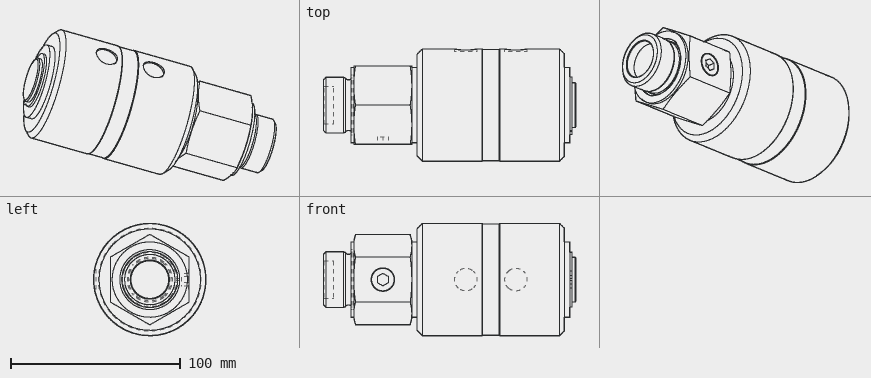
import cadquery as cq
import math


thread_diameter = 33.0
thread_end = 12.1
thread_chamfer = 1.6
bore_diameter = 22.2
bore_depth = 6.0
bore_chamfer = 0.5

undercut_middle = 14.9
undercut_diameter = 30.0
undercut_cone_end = 13.0
undercut_cone_diameter = 32.1
recess_diameter = 35.4

collar_diameter = 44.5
flange_start = 16.3
hex_start = 18.0
hex_end = 52.2
hex_flats = 46.3
hex_chamfer_angle = 15

body_diameter = 66.4
body_start = 55.2
body_end = 142.2
start_chamfer = 3.3
end_chamfer = 2.8
band_diameter = 65.8
band_start = 93.5
band_end = 104.1
band_slope_length = 0.5

collar_end = 145.5
shaft_diameter = 26.5
shaft_chamfer = 0.7
total_length = 149.2

ring_thickness = 1.3
ring_outer_diameter = 32.4
ring_offset = 0.5
ring_gap = 1.2
lug_base_width = 10.1
lug_tip_width = 5.0
lug_base = 15.7
lug_reach = 17.5

plug_diameter = 13.3
plug_gap = 0.3
plug_gap_depth = 0.3
socket_flats = 6.4
socket_depth = 4.5

pocket_diameter = plug_diameter
pocket_depth = 1.5
pocket_spacing = 29.5


def cylinder(start, end, diameter):
    return cq.Workplane("YZ", origin=(start, 0, 0)).circle(diameter / 2).extrude(end - start)


def make_stud():
    outer = thread_diameter / 2
    cone_radius = undercut_cone_diameter / 2
    recess_floor = 2 * undercut_middle - thread_end
    far_cone_start = 2 * undercut_middle - undercut_cone_end
    return (
        cq.Workplane("XY")
        .lineTo(0, outer - thread_chamfer)
        .lineTo(thread_chamfer, outer)
        .lineTo(thread_end, outer)
        .lineTo(undercut_cone_end, cone_radius)
        .threePointArc((undercut_middle, undercut_diameter / 2), (far_cone_start, cone_radius))
        .lineTo(recess_floor, outer)
        .lineTo(recess_floor, recess_diameter / 2)
        .lineTo(flange_start, recess_diameter / 2)
        .lineTo(flange_start, collar_diameter / 2)
        .lineTo(hex_start, collar_diameter / 2)
        .lineTo(hex_start, 0)
        .close()
        .revolve(360, (0, 0, 0), (1, 0, 0))
    )


def make_hexagon():
    corner_radius = hex_flats / math.sqrt(3)
    flat_radius = hex_flats / 2
    chamfer_length = (corner_radius - flat_radius) * math.tan(math.radians(hex_chamfer_angle))
    prism = (
        cq.Workplane("YZ", origin=(hex_start, 0, 0))
        .polygon(6, 2 * corner_radius)
        .extrude(hex_end - hex_start)
        .rotate((0, 0, 0), (1, 0, 0), 90)
    )
    chamfered_bar = (
        cq.Workplane("XY")
        .moveTo(hex_start, 0)
        .lineTo(hex_start, flat_radius)
        .lineTo(hex_start + chamfer_length, corner_radius)
        .lineTo(hex_end - chamfer_length, corner_radius)
        .lineTo(hex_end, flat_radius)
        .lineTo(hex_end, 0)
        .close()
        .revolve(360, (0, 0, 0), (1, 0, 0))
    )
    return prism.intersect(chamfered_bar)


def make_body():
    outer = body_diameter / 2
    band = band_diameter / 2
    body = (
        cq.Workplane("XY")
        .moveTo(body_start, 0)
        .lineTo(body_start, outer - start_chamfer)
        .lineTo(body_start + start_chamfer, outer)
        .lineTo(band_start, outer)
        .lineTo(band_start + band_slope_length, band)
        .lineTo(band_end - band_slope_length, band)
        .lineTo(band_end, outer)
        .lineTo(body_end - end_chamfer, outer)
        .lineTo(body_end, outer - end_chamfer)
        .lineTo(body_end, 0)
        .close()
        .revolve(360, (0, 0, 0), (1, 0, 0))
    )
    floor = outer - pocket_depth
    band_middle = (band_start + band_end) / 2
    for side in (-1, 1):
        station = band_middle + side * pocket_spacing / 2
        pocket = (
            cq.Workplane("XZ", origin=(station, floor, 0))
            .circle(pocket_diameter / 2)
            .extrude(-2 * pocket_depth)
        )
        body = body.cut(pocket)
    return body


def make_shaft_end():
    shaft = cylinder(collar_end, total_length, shaft_diameter).faces(">X").chamfer(shaft_chamfer)
    return cylinder(body_end, collar_end, collar_diameter).union(shaft)


def make_retaining_ring():
    plane = cq.Workplane("YZ", origin=(collar_end, 0, 0))
    ring = plane.center(ring_offset, 0).circle(ring_outer_diameter / 2).extrude(ring_thickness)
    lugs = (
        plane.moveTo(0, -lug_base_width / 2)
        .lineTo(-lug_base, -lug_base_width / 2)
        .lineTo(-lug_reach, -lug_tip_width / 2)
        .lineTo(-lug_reach, lug_tip_width / 2)
        .lineTo(-lug_base, lug_base_width / 2)
        .lineTo(0, lug_base_width / 2)
        .close()
        .extrude(ring_thickness)
    )
    gap = plane.center(-lug_reach, 0).rect(2 * lug_reach, ring_gap).extrude(ring_thickness)
    return ring.union(lugs).cut(gap)


def cut_plug(part):
    station = (hex_start + hex_end) / 2
    plane = cq.Workplane("XZ", origin=(station, -hex_flats / 2, 0))
    ring_gap_cut = (
        plane.circle(plug_diameter / 2 + plug_gap).circle(plug_diameter / 2).extrude(-plug_gap_depth)
    )
    socket = (
        plane.transformed(rotate=(0, 0, 90))
        .polygon(6, 2 * socket_flats / math.sqrt(3))
        .extrude(-socket_depth)
    )
    return part.cut(ring_gap_cut).cut(socket)


def cut_bore(part):
    radius = bore_diameter / 2
    bore = (
        cq.Workplane("XY")
        .lineTo(0, radius + bore_chamfer)
        .lineTo(bore_chamfer, radius)
        .lineTo(bore_depth, radius)
        .lineTo(bore_depth, 0)
        .close()
        .revolve(360, (0, 0, 0), (1, 0, 0))
    )
    return part.cut(bore)


result = (
    make_stud()
    .union(make_hexagon())
    .union(cylinder(hex_end, body_start, collar_diameter))
    .union(make_body())
    .union(make_shaft_end())
    .union(make_retaining_ring())
)
result = cut_bore(cut_plug(result))